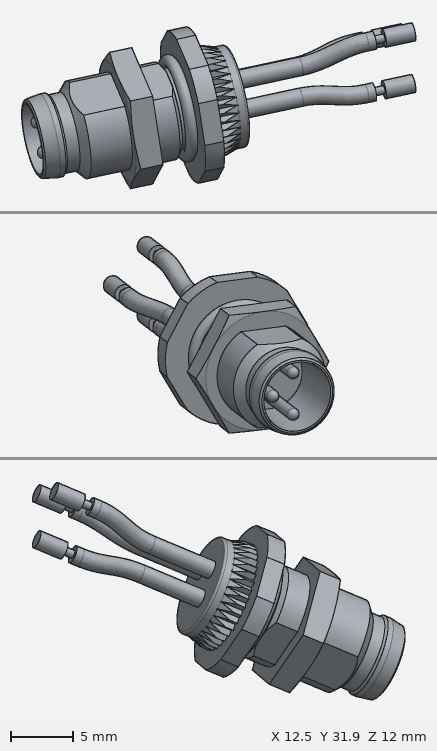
import cadquery as cq
import math


lip_diameter = 6.15
rim_diameter = 6.52
rim_chamfer_length = 0.13
collar_diameter = 6.9
neck_diameter = 6.5
bore_diameter = 5.8
bore_depth = 5.75
bore_floor_diameter = 5.6
collar_front_y = 1.28
collar_back_y = 1.75
neck_front_y = 1.95
cone_front_y = 3.0
barrel_diameter = 8.05
barrel_front_y = 3.7
barrel_back_y = 11.15
barrel_end_y = 11.5
barrel_end_diameter = 7.15
barrel_across_flats = 7.05
seal_seat_diameter = 6.7

seal_section_diameter = 1.0
seal_outer_diameter = 8.82
seal_center_y = 12.17

flange_diameter = 12.52
flange_across_flats = 12.0
flange_front_y = 12.62
flange_back_y = 14.22

cap_diameter = 8.4
knurl_diameter = 9.2
knurl_taper_y = 14.92
knurl_back_y = 16.2
cap_back_y = 17.0
cap_fillet = 0.2
tooth_count = 40

contact_radius = 1.75
pin_diameter = 1.0
pin_tip_y = 0.4
wire_diameter = 1.5
strand_diameter = 0.7
wire_end_radius = 2.95
bend_start_y = 22.5
bend_end_y = 28.02
sheath_end_y = 28.65
tip_sleeve_y = 29.5
wire_end_y = 31.95
contact_angles = (90, 180, 270)

nut_across_flats = 10.0
nut_front_y = 7.15
nut_back_y = 9.2
nut_chamfer_length = 0.2


def plane_at(y):
    """Plane across the axis at the given Y, its normal along +Y and its local x along +X."""
    return cq.Plane(origin=(0, y, 0), xDir=(1, 0, 0), normal=(0, 1, 0))


def cylinder(diameter, start_y, end_y, x=0.0, z=0.0):
    """Cylinder parallel to the Y axis, centred at the given X and Z."""
    return cq.Workplane(plane_at(start_y)).center(x, -z).circle(diameter / 2).extrude(end_y - start_y)


def hexagon_corners(across_flats):
    """Distance across the corners of a regular hexagon."""
    return across_flats / math.cos(math.radians(30))


def hexagon(across_flats, start_y, end_y):
    """Hexagonal prism with corners on the X axis and flats across Z."""
    across_corners = hexagon_corners(across_flats)
    return cq.Workplane(plane_at(start_y)).polygon(6, across_corners).extrude(end_y - start_y)


def turned(profile):
    """Solid of revolution about the Y axis from (diameter, y) stations."""
    outline = [(0, profile[0][1])]
    outline += [(diameter / 2, y) for diameter, y in profile]
    outline.append((0, profile[-1][1]))
    return cq.Workplane("XY").polyline(outline).close().revolve(360, (0, 0, 0), (0, 1, 0))


def make_barrel():
    """Threaded barrel with two side flats, following the turned outline of the mating end."""
    barrel = turned([
        (lip_diameter, 0),
        (rim_diameter, rim_chamfer_length),
        (collar_diameter, collar_front_y),
        (collar_diameter, collar_back_y),
        (neck_diameter, neck_front_y),
        (neck_diameter, cone_front_y),
        (barrel_diameter, barrel_front_y),
        (barrel_diameter, barrel_back_y),
        (barrel_end_diameter, barrel_end_y),
        (seal_seat_diameter, barrel_end_y),
        (seal_seat_diameter, flange_front_y),
    ])
    flats = cq.Workplane("XY").box(barrel_diameter, 2 * flange_front_y, barrel_across_flats)
    return barrel.intersect(flats)


def make_bore():
    """Socket cavity that narrows slightly towards its floor."""
    return turned([(bore_diameter, 0), (bore_floor_diameter, bore_depth)])


def make_seal():
    """Seal ring pressed slightly into the flange face."""
    tube_center = (seal_outer_diameter - seal_section_diameter) / 2
    section_plane = cq.Plane(origin=(tube_center, seal_center_y, 0), xDir=(-1, 0, 0), normal=(0, 0, 1))
    section = cq.Workplane(section_plane).circle(seal_section_diameter / 2)
    return section.revolve(360, (tube_center, 0, 0), (tube_center, 1, 0))


def make_flange():
    """Round flange trimmed by six flats."""
    disc = cylinder(flange_diameter, flange_front_y, flange_back_y)
    return disc.intersect(hexagon(flange_across_flats, flange_front_y, flange_back_y))


def knurl_envelope():
    """Prism and frustum with one flat side per tooth, its corners over the valleys between the teeth."""
    tip_polygon_diameter = knurl_diameter / math.cos(math.pi / tooth_count)
    prism = cq.Workplane(plane_at(flange_back_y)).polygon(tooth_count, tip_polygon_diameter)
    prism = prism.extrude(knurl_taper_y - flange_back_y)
    frustum = cq.Workplane(plane_at(knurl_taper_y)).polygon(tooth_count, tip_polygon_diameter)
    frustum = frustum.workplane(offset=knurl_back_y - knurl_taper_y).polygon(tooth_count, cap_diameter)
    return prism.union(frustum.loft(ruled=True))


def make_knurl():
    """Ring of sharp teeth whose tips taper down to the smooth cap."""
    points = []
    for i in range(2 * tooth_count):
        radius = (cap_diameter if i % 2 == 0 else knurl_diameter) / 2
        angle = math.pi * i / tooth_count
        points.append((radius * math.cos(angle), radius * math.sin(angle)))
    teeth = cq.Workplane(plane_at(flange_back_y)).polyline(points).close()
    teeth = teeth.extrude(knurl_back_y - flange_back_y)
    return teeth.intersect(knurl_envelope())


def make_cap():
    """Smooth rear cap with a rounded edge, also forming the core under the knurl."""
    return cylinder(cap_diameter, flange_back_y, cap_back_y).faces(">Y").edges().fillet(cap_fillet)


def make_pin(angle):
    """Round-nosed contact pin standing on the cavity floor."""
    x = contact_radius * math.cos(math.radians(angle))
    z = contact_radius * math.sin(math.radians(angle))
    pin_radius = pin_diameter / 2
    nose_center_y = pin_tip_y + pin_radius
    shank = cylinder(pin_diameter, nose_center_y, bore_depth, x, z)
    nose = cq.Workplane("XY").sphere(pin_radius).translate((x, nose_center_y, z))
    return shank.union(nose)


def make_wire(angle):
    """Wire that bends outwards, with a short bared stretch before its end sleeve."""
    start = cylinder(wire_diameter, cap_back_y, bend_start_y, contact_radius)
    path = cq.Workplane("XY").spline(
        [(contact_radius, bend_start_y), (wire_end_radius, bend_end_y)],
        tangents=[(0, 1), (0, 1)],
    )
    section = cq.Workplane(plane_at(bend_start_y)).center(contact_radius, 0).circle(wire_diameter / 2)
    wire = start.union(section.sweep(path))
    wire = wire.union(cylinder(wire_diameter, bend_end_y, sheath_end_y, wire_end_radius))
    wire = wire.union(cylinder(strand_diameter, sheath_end_y, tip_sleeve_y, wire_end_radius))
    wire = wire.union(cylinder(wire_diameter, tip_sleeve_y, wire_end_y, wire_end_radius))
    return wire.rotate((0, 0, 0), (0, 1, 0), -angle)


def make_connector():
    """Complete connector with seal, contacts and wires as one solid."""
    connector = make_barrel().cut(make_bore())
    for feature in (make_seal(), make_flange(), make_cap(), make_knurl()):
        connector = connector.union(feature)
    for angle in contact_angles:
        connector = connector.union(make_pin(angle)).union(make_wire(angle))
    return connector


def make_nut():
    """Hex nut chamfered on its front corners, with a hole that matches the flatted barrel."""
    across_corners = hexagon_corners(nut_across_flats)
    chamfer_envelope = turned([
        (nut_across_flats, nut_front_y),
        (across_corners, nut_front_y + nut_chamfer_length),
        (across_corners, nut_back_y),
    ])
    blank = hexagon(nut_across_flats, nut_front_y, nut_back_y).intersect(chamfer_envelope)
    return blank.cut(make_barrel())


connector = make_connector()
nut = make_nut()

result = cq.Compound.makeCompound([connector.val(), nut.val()])